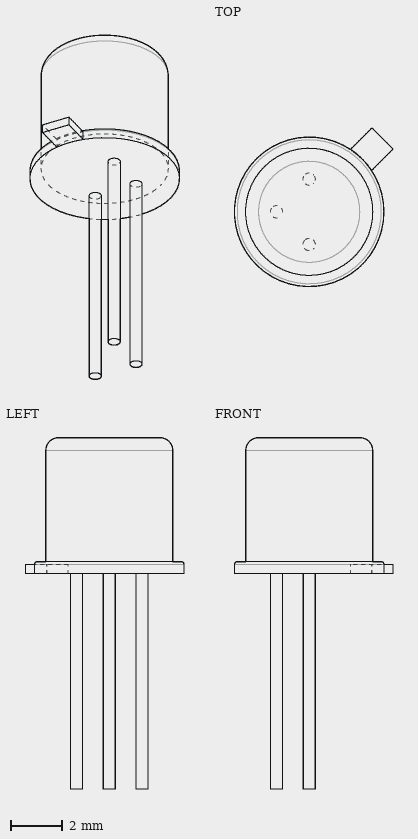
import cadquery as cq
import math

total_height = 13.73
lead_length = 8.42

flange_radius = 2.92
flange_thickness = 0.47
flange_edge_round = 0.11

cap_radius = 2.49
cap_top_round = 0.51

tab_width = 1.17
tab_reach = 4.05
tab_angle = 45.0

lead_diameter = 0.48
lead_circle_radius = 1.28
lead_angles = (90.0, 180.0, 270.0)

flange_top = lead_length + flange_thickness
tab_thickness = flange_thickness - flange_edge_round


def disc(radius, bottom, height):
    """Upright cylinder centred on the can's axis."""
    return cq.Workplane("XY").workplane(offset=bottom).circle(radius).extrude(height)


def make_flange():
    """Base disc with a rounded upper rim."""
    return disc(flange_radius, lead_length, flange_thickness).faces(">Z").edges().fillet(flange_edge_round)


def make_cap():
    """Can on top of the flange, with a rounded top rim."""
    cap = disc(cap_radius, flange_top, total_height - flange_top)
    return cap.faces(">Z").edges().fillet(cap_top_round)


def make_tab():
    """Radial bar whose inner end is hollowed to sit against the flange rim."""
    bar = (
        cq.Workplane("XY")
        .workplane(offset=lead_length)
        .rect(tab_reach, tab_width)
        .extrude(tab_thickness)
        .translate((tab_reach / 2, 0, 0))
        .cut(disc(flange_radius, lead_length, tab_thickness))
    )
    return bar.rotate((0, 0, 0), (0, 0, 1), tab_angle)


def make_lead(angle):
    """Straight round wire that ends on the underside of the flange."""
    x = lead_circle_radius * math.cos(math.radians(angle))
    y = lead_circle_radius * math.sin(math.radians(angle))
    return cq.Workplane("XY").center(x, y).circle(lead_diameter / 2).extrude(lead_length)


flange = make_flange()
cap = make_cap()
tab = make_tab()
leads = [make_lead(angle) for angle in lead_angles]

result = cq.Compound.makeCompound(
    [flange.solids().val(), cap.solids().val(), tab.solids().val(), *[lead.val() for lead in leads]]
)